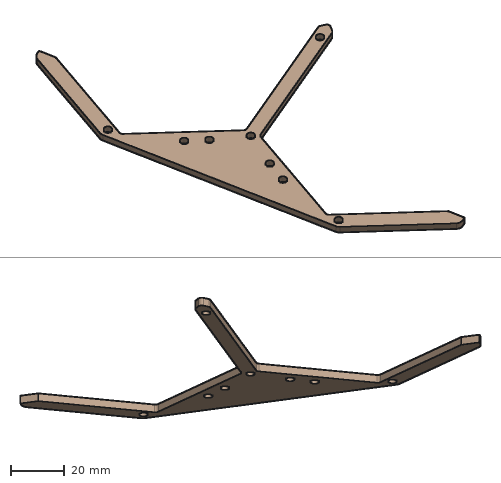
import cadquery as cq
import math

thickness = 3.2
middle_arm_width = 6.0
side_arm_width = 6.3
arm_angle = math.radians(30)
half_span = 90.0
total_height = 88.2

base_half = 50.0
shoulder_y = 27.0

side_tip_y = 26.3
small_radius = 1.5
large_radius = 3.0

hole_diameter = 3.2
middle_hole_heights = [25.4, 81.2]
paired_holes = [(12.8, 16.4), (20.9, 11.5), (48.8, 3.2)]

slope = math.tan(arm_angle)
half_width = middle_arm_width / 2

arm_rise = side_arm_width / math.cos(arm_angle)
side_flat_start = base_half + (side_tip_y - arm_rise) / slope
side_corner_y = slope * (half_span - base_half)

valley_x = (shoulder_y - arm_rise + slope * (half_width + base_half)) / (2 * slope)
valley_y = shoulder_y - slope * (valley_x - half_width)

apex_y = total_height + small_radius * (math.sqrt(2) - 1)
tip_corner_y = apex_y - half_width

right_half = [
    (base_half, 0),
    (half_span, side_corner_y),
    (half_span, side_tip_y),
    (side_flat_start, side_tip_y),
    (valley_x, valley_y),
    (half_width, shoulder_y),
    (half_width, tip_corner_y),
]
left_half = [(-x, y) for x, y in reversed(right_half)]
outline = right_half + [(0, apex_y)] + left_half
plate = cq.Workplane("XY").polyline(outline).close().extrude(thickness)


def round_corner(body, x, y, radius):
    """Round the upright edge of the plate at one outline corner."""
    corner = cq.selectors.NearestToPointSelector((x, y, thickness / 2))
    return body.edges("|Z").edges(corner).fillet(radius)


def round_outline(body):
    """Round the middle arm's point and the mirrored outline corners."""
    body = round_corner(body, 0, apex_y, small_radius)
    for side in (-1, 1):
        body = round_corner(body, side * half_width, tip_corner_y, small_radius)
        body = round_corner(body, side * half_width, shoulder_y, small_radius)
        body = round_corner(body, side * valley_x, valley_y, small_radius)
        body = round_corner(body, side * half_span, side_corner_y, large_radius)
        body = round_corner(body, side * base_half, 0, large_radius)
    return body


def drill_holes(body):
    """Drill the middle holes and the mirrored pairs through the plate."""
    centers = [(0, y) for y in middle_hole_heights]
    centers += [(side * x, y) for x, y in paired_holes for side in (-1, 1)]
    drills = cq.Workplane("XY").pushPoints(centers).circle(hole_diameter / 2).extrude(thickness)
    return body.cut(drills)


result = drill_holes(round_outline(plate))